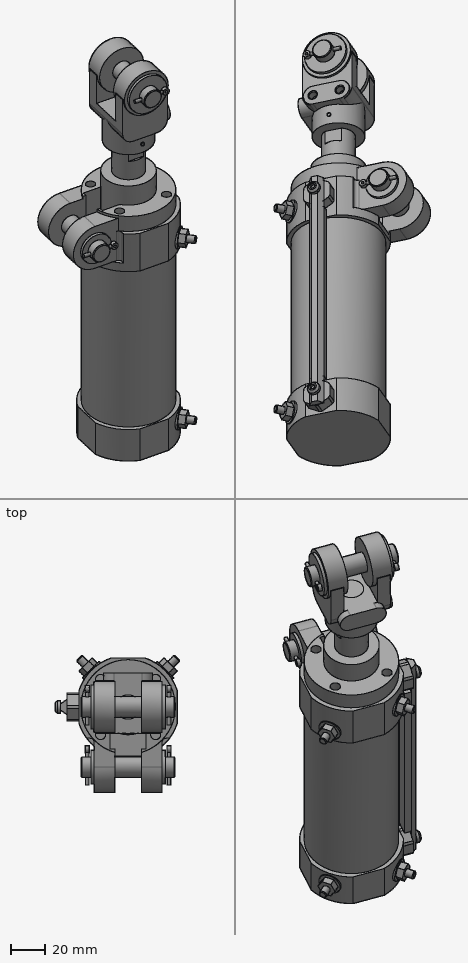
import cadquery as cq
import math


overall_height = 269.5

tube_dia = 55.5
cap_dia = 61.0
cap_flat_offset = 28.8
base_height = 22.6
head_bottom = 135.8
head_top = 162.8
boss_dia = 32.5
boss_top = 187.3

ear_inner = 7.8
ear_outer = 20.0
ear_thickness = ear_outer - ear_inner

flange_dia = tube_dia
flange_top = 173.5
bolt_hole_dia = 6.0
bolt_spacing = 32.3

lug_dia = 30.0
lug_pin_y = -35.3
lug_pin_z = 156.8
lug_bottom = lug_pin_z - lug_dia / 2
pocket_back_y = -18.3
pocket_fillet = 2.3
slot_floor = 139.5
boss_slot_half_width = 10.5
boss_slot_end_y = -24.5
cutter_reach = 40.5

barrel_fittings = [(45, 14.3), (135, 10.0)]
head_fittings = [(45, 144.0), (135, 149.5)]
fitting_collar_dia = 13.7
fitting_collar_end = 31.0
fitting_nut_dia = 11.0
fitting_nut_end = 35.3
fitting_tip_dia = 4.9
fitting_tip_end = 40.7
fitting_tip_chamfer = 0.5
fitting_root = 24.3

barrel_mount_height = 10.5
head_mount_height = 149.8
mount_hex_flats = 16.5
mount_hex_round = 18.0
mount_face_x = -35.8

rail_face_x = -39.5
rail_back_x = -31.5
rail_half_width = 4.5
rail_face_half_width = 2.0
rail_bottom = 2.2
rail_top = 158.5
rib_bottom = 21.0
rib_top = 138.8
screw_dia = 7.5
screw_end_x = -42.9
screw_chamfer = 1.3
socket_dia = 3.0
socket_depth = 1.5

rod_dia = 20.0
rod_spigot_dia = 14.3
rod_flat_width = 17.0
rod_flat_bottom = 200.5

ear_dia = 30.2
clevis_bottom = 209.0
clevis_neck_dia = 31.0
yoke_bottom = 222.0
yoke_floor = 234.5
yoke_half_width = 18.5
yoke_depth = 31.0
yoke_inner_width = 21.0
yoke_corner_radius = 7.5
clevis_pin_z = overall_height - ear_dia / 2
pad_height = yoke_floor - yoke_bottom
pad_length = 28.8
pad_mid_z = (yoke_floor + yoke_bottom) / 2
side_pad_x = -20.2
rear_pad_y = 20.0
pad_hole_dia = 4.9
pad_hole_mouth_dia = 6.0
pad_hole_spacing = 17.0
pad_hole_depth = 5.5
spring_pin_dia = 2.3
spring_pin_length = 32.3
spring_pin_z = 215.3

pin_dia = 12.0
pin_end_dia = 11.0
pin_length = 55.0
washer_face = 21.8
clevis_washer_dia = 26.0
lug_washer_dia = 20.0
cotter_dia = 2.3
cotter_x = 24.0
cotter_tail = 10.5
cotter_eye_dia = 4.3
cotter_eye_hole = 1.5
cotter_eye_width = 2.5
cotter_eye_y = 10.5


def cylinder_z(dia, z0, z1):
    return cq.Workplane("XY").workplane(offset=z0).circle(dia / 2).extrude(z1 - z0)


def cylinder_x(dia, x0, x1, y, z):
    return cq.Workplane("YZ", origin=(x0, y, z)).circle(dia / 2).extrude(x1 - x0)


def box_between(x0, x1, y0, y1, z0, z1):
    return cq.Workplane("XY").box(x1 - x0, y1 - y0, z1 - z0, centered=False).translate((x0, y0, z0))


def end_cap(z0, z1):
    """A round cap with four flats."""
    size = 2 * cap_flat_offset
    flats = cq.Workplane("XY").workplane(offset=z0).rect(size, size).extrude(z1 - z0)
    return cylinder_z(cap_dia, z0, z1).intersect(flats)


def fitting(angle, height):
    """A hexagon nut on a round collar with a needle tip, pointing away from the axis."""
    base = cq.Workplane("YZ", origin=(fitting_root, 0, 0))
    nut = base.polygon(6, fitting_nut_dia).extrude(fitting_nut_end - fitting_root)
    collar = cylinder_x(fitting_collar_dia, fitting_root, fitting_collar_end, 0, 0)
    tip = cylinder_x(fitting_tip_dia, fitting_root, fitting_tip_end, 0, 0)
    tip = tip.faces(">X").chamfer(fitting_tip_chamfer)
    return collar.union(nut).union(tip).rotate((0, 0, 0), (0, 0, 1), angle).translate((0, 0, height))


def rail_mount(height):
    """A hexagon standoff, corner up, with its corners turned down."""
    across_corners = mount_hex_flats / math.cos(math.pi / 6)
    length = -cap_flat_offset - mount_face_x
    standoff = cq.Workplane("YZ").polygon(6, across_corners).extrude(length)
    standoff = standoff.rotate((0, 0, 0), (1, 0, 0), 90).translate((mount_face_x, 0, height))
    return standoff.intersect(cylinder_x(mount_hex_round, mount_face_x, -cap_flat_offset, 0, height))


def add_fixtures(body, fittings, mount_height):
    """Joins the needle fittings and the rail mount to a cap."""
    for angle, height in fittings:
        body = body.union(fitting(angle, height))
    return body.union(rail_mount(mount_height))


def make_barrel():
    barrel = cylinder_z(tube_dia, 0, head_bottom).union(end_cap(0, base_height))
    return add_fixtures(barrel, barrel_fittings, barrel_mount_height)


def lug(side):
    """A round-ended lug, filleted into the back of the pocket; side is 1 or -1."""
    lug_top = lug_bottom + lug_dia
    block = box_between(ear_inner, ear_outer, lug_pin_y, pocket_back_y, lug_bottom, lug_top)
    block = block.union(cylinder_x(lug_dia, ear_inner, ear_outer, lug_pin_y, lug_pin_z))
    fillet = (
        cq.Workplane("XY")
        .workplane(offset=lug_bottom)
        .moveTo(ear_outer, pocket_back_y)
        .lineTo(ear_outer + pocket_fillet, pocket_back_y)
        .radiusArc((ear_outer, pocket_back_y - pocket_fillet), -pocket_fillet)
        .close()
        .extrude(head_top - lug_bottom)
    )
    block = block.union(fillet)
    return block if side > 0 else block.mirror("YZ")


def bolt_holes():
    corners = cq.Workplane("XY").workplane(offset=head_top)
    corners = corners.rect(bolt_spacing, bolt_spacing, forConstruction=True).vertices()
    return corners.circle(bolt_hole_dia / 2).extrude(flange_top - head_top)


def make_head():
    head = end_cap(head_bottom, head_top)
    head = head.cut(
        box_between(-cutter_reach, cutter_reach, -cutter_reach, pocket_back_y, lug_bottom, head_top)
    )
    head = head.union(cylinder_z(flange_dia, head_top, flange_top))
    for side in (-1, 1):
        head = head.union(lug(side))
    head = head.cut(box_between(-ear_inner, ear_inner, -cutter_reach, 0, slot_floor, flange_top))
    half_width = boss_slot_half_width
    head = head.cut(box_between(-half_width, half_width, boss_slot_end_y, 0, slot_floor, flange_top))
    head = head.cut(bolt_holes())
    head = head.union(cylinder_z(boss_dia, head_bottom, boss_top))
    head = head.cut(cylinder_z(rod_dia, head_bottom, boss_top))
    head = head.cut(cylinder_x(pin_dia, -ear_outer, ear_outer, lug_pin_y, lug_pin_z))
    return add_fixtures(head, head_fittings, head_mount_height)


def make_rod():
    rod = cylinder_z(rod_dia, head_bottom, clevis_bottom)
    flats = cq.Workplane("XY").workplane(offset=rod_flat_bottom)
    flats = flats.rect(rod_flat_width, rod_dia).extrude(clevis_bottom - rod_flat_bottom)
    end = cylinder_z(rod_dia, rod_flat_bottom, clevis_bottom).cut(flats)
    return rod.cut(end).union(cylinder_z(rod_spigot_dia, clevis_bottom, yoke_floor))


def make_yoke():
    """A U-shaped fork with rounded lower corners and a round ear on each arm."""
    half_depth = yoke_depth / 2
    yoke = box_between(
        -yoke_half_width, yoke_half_width, -half_depth, half_depth, yoke_bottom, clevis_pin_z
    )
    yoke = yoke.faces("<Z").edges("|X").fillet(yoke_corner_radius)
    half_gap = yoke_inner_width / 2
    yoke = yoke.cut(box_between(-half_gap, half_gap, -half_depth, half_depth, yoke_floor, clevis_pin_z))
    for x0 in (ear_inner, -ear_outer):
        yoke = yoke.union(cylinder_x(ear_dia, x0, x0 + ear_thickness, 0, clevis_pin_z))
    return yoke


def pad_holes():
    """Two blind holes with countersunk mouths, in the side pad."""
    places = [(-pad_hole_spacing / 2, 0), (pad_hole_spacing / 2, 0)]
    face = cq.Workplane("YZ", origin=(side_pad_x, 0, pad_mid_z)).pushPoints(places)
    holes = face.circle(pad_hole_dia / 2).extrude(pad_hole_depth)
    mouth_depth = (pad_hole_mouth_dia - pad_hole_dia) / 2
    mouths = face.circle(pad_hole_mouth_dia / 2).extrude(mouth_depth, taper=45)
    return holes.union(mouths)


def make_clevis():
    clevis = make_yoke().union(cylinder_z(clevis_neck_dia, clevis_bottom, yoke_floor))
    side_pad = cq.Workplane("YZ", origin=(side_pad_x, 0, pad_mid_z)).slot2D(pad_length, pad_height)
    clevis = clevis.union(side_pad.extrude(-side_pad_x)).cut(pad_holes())
    rear_pad = cq.Workplane("XZ", origin=(0, rear_pad_y, pad_mid_z)).slot2D(pad_length, pad_height)
    clevis = clevis.union(rear_pad.extrude(rear_pad_y))
    half_spring_pin = spring_pin_length / 2
    clevis = clevis.union(cylinder_x(spring_pin_dia, -half_spring_pin, half_spring_pin, 0, spring_pin_z))
    clevis = clevis.cut(cylinder_z(rod_spigot_dia, clevis_bottom, yoke_floor))
    return clevis.cut(cylinder_x(pin_dia, -ear_outer, ear_outer, 0, clevis_pin_z))


def cotter(x):
    """A cotter along Y with a ring-shaped eye at its +Y end."""
    shank = cq.Workplane("XZ", origin=(x, cotter_eye_y - cotter_eye_dia / 4, 0)).circle(cotter_dia / 2)
    shank = shank.extrude(cotter_tail + cotter_eye_y - cotter_eye_dia / 4)
    eye_start = x - cotter_eye_width / 2
    eye_end = x + cotter_eye_width / 2
    eye = cylinder_x(cotter_eye_dia, eye_start, eye_end, cotter_eye_y, 0)
    eye_hole = cylinder_x(cotter_eye_hole, eye_start, eye_end, cotter_eye_y, 0)
    return shank.union(eye).cut(eye_hole)


def make_pin(washer_dia, y, z):
    """A chamfered pin along X with a washer and a cotter at each end."""
    pin = cylinder_x(pin_dia, -pin_length / 2, pin_length / 2, 0, 0)
    pin = pin.faces("<X or >X").chamfer((pin_dia - pin_end_dia) / 2)
    for x0, x1 in ((ear_outer, washer_face), (-washer_face, -ear_outer)):
        pin = pin.union(cylinder_x(washer_dia, x0, x1, 0, 0))
    for x in (-cotter_x, cotter_x):
        pin = pin.union(cotter(x))
    return pin.translate((0, y, z))


def make_rail():
    """A bar with a tapered outer side, a rib between the mounts and two screw heads."""
    outline = [
        (mount_face_x, -rail_half_width),
        (rail_face_x, -rail_face_half_width),
        (rail_face_x, rail_face_half_width),
        (mount_face_x, rail_half_width),
    ]
    rail = cq.Workplane("XY").workplane(offset=rail_bottom).polyline(outline).close()
    rail = rail.extrude(rail_top - rail_bottom)
    rail = rail.union(
        box_between(mount_face_x, rail_back_x, -rail_half_width, rail_half_width, rib_bottom, rib_top)
    )
    for height in (barrel_mount_height, head_mount_height):
        head = cylinder_x(screw_dia, screw_end_x, rail_face_x, 0, height)
        head = head.faces("<X").chamfer(screw_chamfer)
        socket = cylinder_x(socket_dia, screw_end_x, screw_end_x + socket_depth, 0, height)
        rail = rail.union(head.cut(socket))
    return rail


barrel = make_barrel()
head = make_head()
rod = make_rod()
clevis = make_clevis()
clevis_pin = make_pin(clevis_washer_dia, 0, clevis_pin_z)
lug_pin = make_pin(lug_washer_dia, lug_pin_y, lug_pin_z)
rail = make_rail()

result = cq.Compound.makeCompound(
    [
        barrel.solids().val(),
        head.solids().val(),
        rod.solids().val(),
        clevis.solids().val(),
        clevis_pin.solids().val(),
        lug_pin.solids().val(),
        rail.solids().val(),
    ]
)